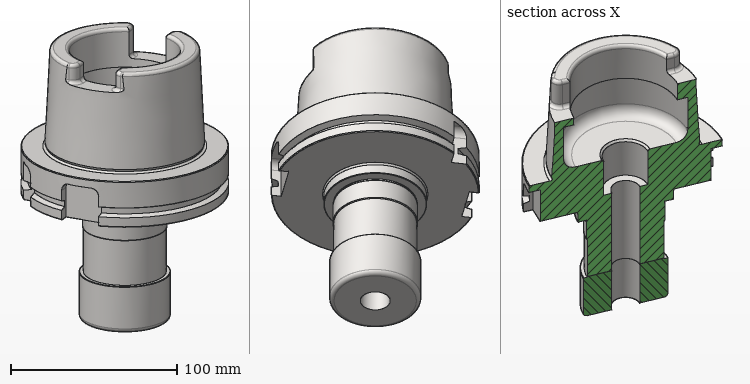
import cadquery as cq
import math


taper_height = 63.0
taper_base_radius = 48.1
taper_base_z = 2.5
taper_half_slope = 0.05
rim_fillet = 2.2

relief_radius = 47.5
relief_arc_top_z = 1.0
relief_arc_middle = (48.0, 0.2)
relief_outer_radius = 49.3

flange_radius = 125.0 / 2
flange_thickness = 29.4
flange_chamfer = 0.5
groove_floor_radius = 58.5
groove_top_z = -17.0
groove_floor_top_z = -18.3
groove_floor_bottom_z = -22.1
groove_bottom_z = -23.2

collar_radius = 62.0 / 2
collar_bottom_z = -37.0
collar_flare = 0.7
collar_flare_height = 1.4
nose_chamfer = 0.3
neck_radius = 50.5 / 2
neck_bottom_z = -38.2
land_radius = 51.0 / 2
land_bottom_z = -51.2
shaft_radius = 50.0 / 2

overall_length = 173
nut_bottom_z = taper_height - overall_length
nut_height = 29.8
nut_radius = 55.0 / 2
nut_top_chamfer = 0.3
nut_bottom_fillet = 2.8

mouth_radius = 67.0 / 2
mouth_bottom_z = 38
chamber_radius = 80.0 / 2
chamber_bottom_z = 13.5
cavity_floor_radius = 32.5
cavity_fillet = chamber_radius - cavity_floor_radius
cavity_floor_z = chamber_bottom_z - cavity_fillet
socket_radius = 28.4 / 2
socket_mouth_radius = 31.0 / 2
socket_bottom_z = -20.8
through_radius = 18.0 / 2

slot_half_width = 12.3
slot_corner_radius = 5.0
slot_corner_start = 36.2
slot_floor_fillet = 2.5
front_slot_depth = 12.3
back_slot_depth = 19.4

cutout_top_z = -5.4
cutout_fillet = 5.0
keyway_width = 24.7
keyway_floor_y = 55.2
notch_wall = 39.3


def make_revolved_body():
    """Taper, flange, grooves and nose as one revolved profile."""
    taper_top_radius = taper_base_radius - taper_half_slope * (taper_height - taper_base_z)
    lower_face_z = -flange_thickness
    nut_top_z = nut_bottom_z + nut_height
    lower_profile = [
        (flange_radius - flange_chamfer, 0),
        (flange_radius, -flange_chamfer),
        (flange_radius, groove_top_z),
        (groove_floor_radius, groove_floor_top_z),
        (groove_floor_radius, groove_floor_bottom_z),
        (flange_radius, groove_bottom_z),
        (flange_radius, lower_face_z + flange_chamfer),
        (flange_radius - flange_chamfer, lower_face_z),
        (collar_radius + collar_flare, lower_face_z),
        (collar_radius, lower_face_z - collar_flare_height),
        (collar_radius, collar_bottom_z + nose_chamfer),
        (collar_radius - nose_chamfer, collar_bottom_z),
        (neck_radius, collar_bottom_z),
        (neck_radius, neck_bottom_z),
        (land_radius, neck_bottom_z),
        (land_radius, land_bottom_z),
        (shaft_radius, land_bottom_z - (land_radius - shaft_radius)),
        (shaft_radius, nut_top_z),
        (0, nut_top_z),
    ]
    outline = (
        cq.Workplane("XZ")
        .moveTo(0, taper_height)
        .lineTo(taper_top_radius, taper_height)
        .lineTo(taper_base_radius, taper_base_z)
        .lineTo(relief_radius, relief_arc_top_z)
        .threePointArc(relief_arc_middle, (relief_outer_radius, 0))
        .polyline(lower_profile, includeCurrent=True)
        .close()
    )
    return outline.revolve(360, (0, 0), (0, 1))


def make_cavity():
    """Clamping bore, chamber with a rounded foot, and the chamfered socket below."""
    socket_chamfer = socket_mouth_radius - socket_radius
    fillet_drop = cavity_fillet * math.sqrt(0.5)
    fillet_middle = (cavity_floor_radius + fillet_drop, chamber_bottom_z - fillet_drop)
    outline = (
        cq.Workplane("XZ")
        .moveTo(0, taper_height)
        .lineTo(mouth_radius, taper_height)
        .lineTo(mouth_radius, mouth_bottom_z)
        .lineTo(chamber_radius, mouth_bottom_z)
        .lineTo(chamber_radius, chamber_bottom_z)
        .threePointArc(fillet_middle, (cavity_floor_radius, cavity_floor_z))
        .lineTo(socket_mouth_radius, cavity_floor_z)
        .lineTo(socket_radius, cavity_floor_z - socket_chamfer)
        .lineTo(socket_radius, socket_bottom_z)
        .lineTo(0, socket_bottom_z)
        .close()
    )
    return outline.revolve(360, (0, 0), (0, 1))


def make_through_hole():
    """Axial hole through the whole length of both bodies."""
    start = cq.Workplane("XY", origin=(0, 0, nut_bottom_z))
    return start.circle(through_radius).extrude(overall_length)


def make_drive_slot(depth):
    """Cutter for a drive slot on the +Y side, flared outwards with rounded corners."""
    reach = flange_radius
    flare_y = slot_corner_start + slot_corner_radius
    flare_x = slot_half_width + slot_corner_radius
    arc_drop = slot_corner_radius * math.sqrt(0.5)
    arc_x = flare_x - arc_drop
    arc_y = slot_corner_start + arc_drop
    cutter = (
        cq.Workplane("XY", origin=(0, 0, taper_height - depth))
        .moveTo(-slot_half_width, 0)
        .lineTo(slot_half_width, 0)
        .lineTo(slot_half_width, slot_corner_start)
        .threePointArc((arc_x, arc_y), (flare_x, flare_y))
        .lineTo(reach, flare_y)
        .lineTo(reach, reach)
        .lineTo(-reach, reach)
        .lineTo(-reach, flare_y)
        .lineTo(-flare_x, flare_y)
        .threePointArc((-arc_x, arc_y), (-slot_half_width, slot_corner_start))
        .close()
        .extrude(depth)
    )
    return cutter.faces("<Z").edges().fillet(slot_floor_fillet)


def make_keyway():
    """Cutter for the flat-floored keyway on the +Y side of the flange, open downwards."""
    keyway_depth = flange_radius - keyway_floor_y
    return (
        cq.Workplane("XY", origin=(0, flange_radius, -flange_thickness))
        .rect(keyway_width, 2 * keyway_depth)
        .extrude(flange_thickness + cutout_top_z)
        .edges("|Y and >Z")
        .fillet(cutout_fillet)
    )


def make_corner_notch():
    """Cutter for the square notch in the -X -Y corner of the flange, open downwards."""
    return (
        cq.Workplane("XY", origin=(-notch_wall, -notch_wall, -flange_thickness))
        .rect(-flange_radius, -flange_radius, centered=False)
        .extrude(flange_thickness + cutout_top_z)
        .edges("|Y and >Z and >X")
        .fillet(cutout_fillet)
    )


def make_holder():
    """Tool holder: taper shank, flange and nose, with the cavity and all cutouts."""
    body = make_revolved_body().cut(make_cavity()).cut(make_through_hole())
    front_slot = make_drive_slot(front_slot_depth).rotate((0, 0, 0), (0, 0, 1), 180)
    body = body.cut(make_drive_slot(back_slot_depth)).cut(front_slot)
    body = body.faces(">Z").edges().fillet(rim_fillet)
    for angle in (0, 180):
        body = body.cut(make_keyway().rotate((0, 0, 0), (0, 0, 1), angle))
    return body.cut(make_corner_notch())


def make_nut():
    """Clamping nut: a round sleeve seated against the end of the shaft."""
    nut = cq.Workplane("XY", origin=(0, 0, nut_bottom_z)).circle(nut_radius).extrude(nut_height)
    nut = nut.faces("<Z").edges().fillet(nut_bottom_fillet)
    nut = nut.faces(">Z").edges().chamfer(nut_top_chamfer)
    return nut.cut(make_through_hole())


holder = make_holder()
nut = make_nut()
result = cq.Compound.makeCompound([holder.val(), nut.val()])